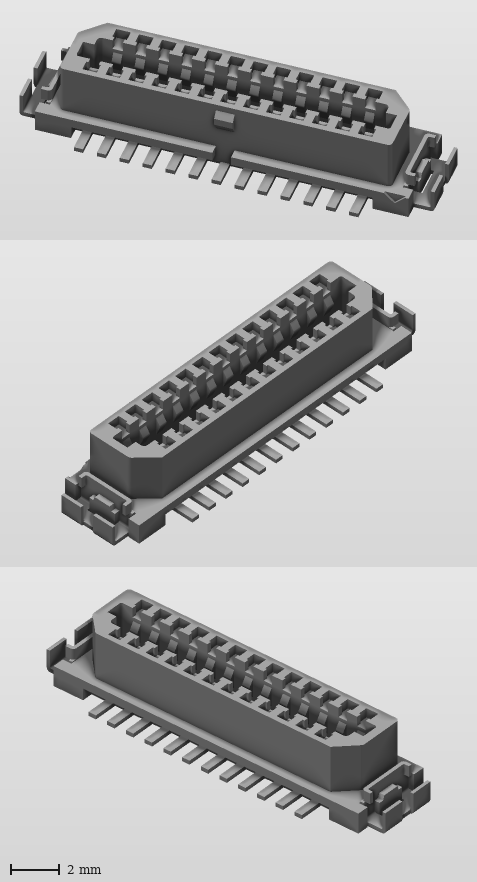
import cadquery as cq


front_count = 13
back_count = front_count - 1
front_row_span = 12.0
pitch = front_row_span / (front_count - 1)
contact_width = 0.4
sheet = 0.2

half_length = 18.1 / 2
half_depth = 5.6 / 2

base_half_length = 8.15
base_half_depth = 2.1
base_height = 1.01
recess_half_length = 6.57
recess_height = 0.6
tail_groove_depth = 0.09
notch_width = 0.81

top = 3.3
shroud_half_length = 7.24
shroud_half_depth = 1.65
key_chamfer = 0.96
shroud_round = 0.18
key_round = 0.25

cavity_floor = 0.6
cavity_half_depth = 0.69
cavity_long_half = 6.85
cavity_short_half = 6.35
cavity_step_y = 0.2
cavity_round = 0.1
cavity_back_round = 0.2
slot_wide = 0.63
slot_narrow = 0.45
slot_step_y = 0.9
slot_end_y = 1.4
slot_floor = 2.82

tip_y = 0.45
tip_z = 2.28
tip_round = 0.1
bump_top = 2.65
bump_bottom = 1.72

latch_reach = 0.24
latch_heights = (2.01, 2.39, 2.72, 2.99)

mark_x = 7.53
mark_width = 0.92
mark_drop = 0.43
mark_depth = 0.1

pocket_x = 7.7
pocket_half_width = 1.5
clip_half_width = 1.45
tab_height = 1.09
tab_gap = 0.7
tab_thickness = 0.16
bend_outer = 0.18
bend_inner = 0.07
wall = 0.18
ear_half_width = 1.34
ear_bottom = 1.07
ear_top = 1.61
ear_inner_round = 0.07
foot_bend = 0.09
lug_half_width = 0.72
lug_slope_outer = 0.5
lug_slope_inner = 0.42
lug_shoulder = 0.8
foot_hole_clearance = 0.13


def block(x0, x1, y0, y1, z0, z1):
    return cq.Workplane("XY").box(x1 - x0, y1 - y0, z1 - z0, centered=False).translate((x0, y0, z0))


def row_positions(count):
    return [(i - (count - 1) / 2) * pitch for i in range(count)]


def make_base():
    base = block(-base_half_length, base_half_length, -base_half_depth, base_half_depth, 0, base_height)
    groove_y = shroud_half_depth - tail_groove_depth
    for side in (-1, 1):
        for inner_y, height in ((shroud_half_depth, recess_height), (groove_y, sheet)):
            y0, y1 = sorted((side * inner_y, side * base_half_depth))
            base = base.cut(block(-recess_half_length, recess_half_length, y0, y1, 0, height))
        x0, x1 = sorted((side * pocket_x, side * base_half_length))
        base = base.cut(block(x0, x1, -pocket_half_width, pocket_half_width, 0, base_height))
    half_notch = notch_width / 2
    base = base.cut(block(-half_notch, half_notch, -base_half_depth, -shroud_half_depth, 0, base_height))
    return base.cut(make_mark())


def make_mark():
    """Triangular pin-one recess in the front face of the flange."""
    half = mark_width / 2
    return (
        cq.Workplane("XZ", origin=(mark_x, -base_half_depth, base_height))
        .polyline([(-half, 0), (half, 0), (0, -mark_drop)])
        .close()
        .extrude(-mark_depth)
    )


def make_shroud():
    """Prism with its two back corners cut off as a polarity key and its front and side edges rounded."""
    key_x = shroud_half_length - key_chamfer
    key_y = shroud_half_depth - key_chamfer
    return (
        cq.Workplane("XY")
        .polyline([
            (-shroud_half_length, -shroud_half_depth),
            (shroud_half_length, -shroud_half_depth),
            (shroud_half_length, key_y),
            (key_x, shroud_half_depth),
            (-key_x, shroud_half_depth),
            (-shroud_half_length, key_y),
        ])
        .close()
        .extrude(top - recess_height)
        .edges("|Z and (not >Y) and (not <Y)")
        .fillet(key_round)
        .edges("|Z and <Y")
        .fillet(shroud_round)
        .translate((0, 0, recess_height))
    )


def make_latch():
    bottom, low, high, upper = latch_heights
    face_y = -shroud_half_depth
    return (
        cq.Workplane("YZ")
        .polyline([
            (face_y, bottom),
            (face_y - latch_reach, low),
            (face_y - latch_reach, high),
            (face_y, upper),
        ])
        .close()
        .extrude(notch_width / 2, both=True)
    )


def make_cavity():
    long_part = block(
        -cavity_long_half, cavity_long_half, -cavity_half_depth, cavity_step_y, cavity_floor, top
    ).edges("|Z and <Y").fillet(cavity_round)
    short_part = block(
        -cavity_short_half, cavity_short_half, 0, cavity_half_depth, cavity_floor, top
    ).edges("|Z and >Y").fillet(cavity_back_round)
    return long_part.union(short_part)


def make_slot():
    """T-shaped contact slot on the back (+Y) side of the cavity."""
    narrow = block(-slot_narrow / 2, slot_narrow / 2, 0, slot_step_y, slot_floor, top)
    wide = block(-slot_wide / 2, slot_wide / 2, slot_step_y, slot_end_y, slot_floor, top)
    return narrow.union(wide)


def make_contact():
    """Back-row contact: spring bump reaching into the cavity, and a flat solder tail."""
    half = contact_width / 2
    bump = (
        cq.Workplane("YZ")
        .polyline([
            (slot_step_y, bump_bottom),
            (slot_step_y, bump_top),
            (cavity_half_depth, bump_top),
            (tip_y, tip_z),
            (cavity_half_depth, bump_bottom),
        ])
        .close()
        .extrude(half, both=True)
        .edges("|X and <Y")
        .fillet(tip_round)
    )
    return bump.union(block(-half, half, cavity_half_depth, half_depth, 0, sheet))


def in_both_rows(feature):
    """Copies of a back-row feature at every contact place; the front row is turned around."""
    back = [feature.translate((x, 0, 0)) for x in row_positions(back_count)]
    turned = feature.rotate((0, 0, 0), (0, 0, 1), 180)
    front = [turned.translate((x, 0, 0)) for x in row_positions(front_count)]
    return back + front


def make_foot():
    """Solder foot of the right-hand clip with two upturned tabs and a hole around the lug."""
    tab_face = half_length - tab_thickness
    foot = (
        cq.Workplane("XZ")
        .polyline([
            (pocket_x, 0),
            (half_length, 0),
            (half_length, tab_height),
            (tab_face, tab_height),
            (tab_face, sheet),
            (pocket_x, sheet),
        ])
        .close()
        .extrude(clip_half_width, both=True)
    )
    foot = foot.edges("|Y and >X and <Z").fillet(bend_outer)
    inner_corner = cq.selectors.NearestToPointSelector((tab_face, 0, sheet))
    foot = foot.edges(inner_corner).fillet(bend_inner)
    half_gap = tab_gap / 2
    foot = foot.cut(block(tab_face, half_length, -half_gap, half_gap, 0, tab_height))
    foot = foot.cut(block(tab_face - bend_inner, tab_face, -half_gap, half_gap, sheet, tab_height))
    hole_end = base_half_length + foot_hole_clearance
    return foot.cut(block(pocket_x + wall, hole_end, -lug_half_width, lug_half_width, 0, sheet))


def make_clip_wall():
    """Upright wall of the right-hand clip, with two curled ears along its upper part."""
    outer = block(pocket_x, base_half_length, -ear_half_width, ear_half_width, ear_bottom, ear_top)
    outer = outer.edges("|Z and <X").fillet(wall)
    inner_half = ear_half_width - wall
    inner = block(pocket_x + wall, base_half_length, -inner_half, inner_half, ear_bottom, ear_top)
    inner = inner.edges("|Z and <X").fillet(ear_inner_round)
    lower_wall = block(pocket_x, pocket_x + wall, -clip_half_width, clip_half_width, 0, ear_bottom)
    return outer.cut(inner).union(lower_wall)


def make_foot_bend():
    """Concave bend between the foot and the upright wall."""
    corner_x = pocket_x + wall
    return (
        cq.Workplane("XZ")
        .moveTo(corner_x, sheet)
        .lineTo(corner_x + foot_bend, sheet)
        .radiusArc((corner_x, sheet + foot_bend), foot_bend)
        .close()
        .extrude(clip_half_width, both=True)
    )


def make_lug():
    """Housing lug inside the right-hand clip, with sloped shoulders."""
    return (
        cq.Workplane("YZ", origin=(pocket_x, 0, 0))
        .polyline([
            (-lug_half_width, 0),
            (lug_half_width, 0),
            (lug_half_width, lug_shoulder),
            (lug_slope_outer, lug_shoulder),
            (lug_slope_inner, base_height),
            (-lug_slope_inner, base_height),
            (-lug_slope_outer, lug_shoulder),
            (-lug_half_width, lug_shoulder),
        ])
        .close()
        .extrude(base_half_length - pocket_x)
    )


housing = make_base().union(make_shroud()).union(make_latch()).cut(make_cavity())
for slot in in_both_rows(make_slot()):
    housing = housing.cut(slot)
for contact in in_both_rows(make_contact()):
    housing = housing.union(contact)

clip = make_foot().union(make_clip_wall()).union(make_foot_bend()).union(make_lug())
result = housing.union(clip).union(clip.mirror("YZ"))